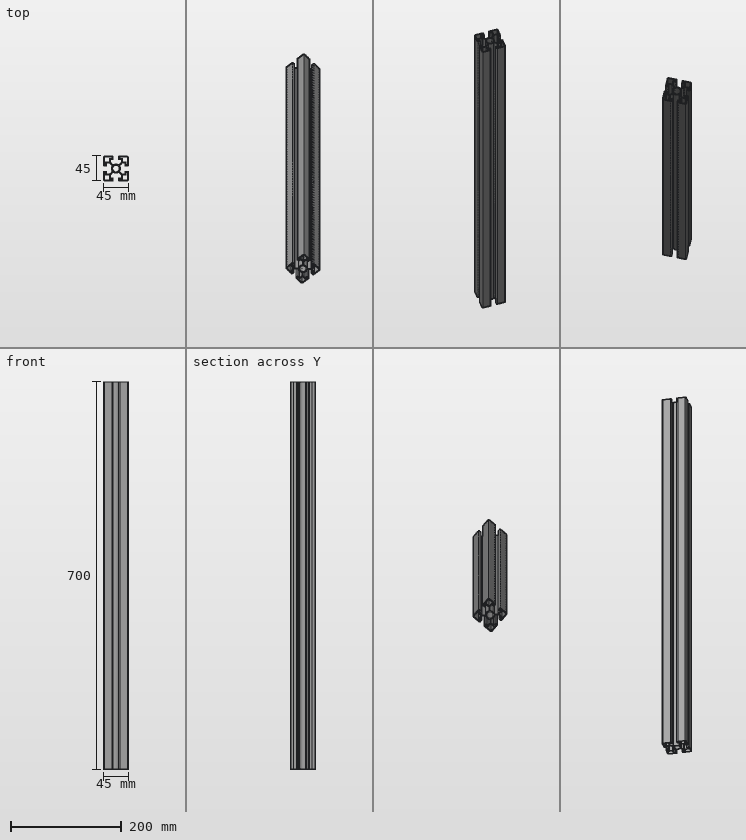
import cadquery as cq
import math

length = 700.0
side = 45.0
corner_radius = 3.0
slot_width = 10.0
slot_edge_radius = 1.5
lip_thickness = 5.5
channel_width = 19.5
outer_wall = 1.75
inner_wall = 1.75
arm_width = 2.0
tip_wall = 2.0
web_thickness = 1.75
hub_diameter = 16.0
bore_diameter = 12.0
corner_count = 4

half_side = side / 2
slot_edge = slot_width / 2
channel_edge = channel_width / 2
channel_depth = half_side - lip_thickness
hollow_start = channel_edge + inner_wall
hollow_end = half_side - outer_wall
arm_inner_face = hollow_end - arm_width
arm_tip = slot_edge + tip_wall


def bar(x_min, x_max, y_min, y_max):
    """Full-length rectangular bar between the given faces."""
    center_x = (x_min + x_max) / 2
    center_y = (y_min + y_max) / 2
    return cq.Workplane("XY").center(center_x, center_y).rect(x_max - x_min, y_max - y_min).extrude(length)


def rod(diameter):
    """Full-length round bar on the long axis."""
    return cq.Workplane("XY").circle(diameter / 2).extrude(length)


def corner_hollow():
    """Square hollow of a corner box with a narrow arm reaching into each lip."""
    square = bar(hollow_start, hollow_end, hollow_start, hollow_end)
    arm_along_x = bar(arm_tip, hollow_end, arm_inner_face, hollow_end)
    arm_along_y = bar(arm_inner_face, hollow_end, arm_tip, hollow_end)
    return square.union(arm_along_x).union(arm_along_y)


def corner_box():
    """Hollow corner box with the two slot lips that grow from it."""
    block = bar(slot_edge, half_side, slot_edge, half_side)
    block = block.edges("|Z and (>X and >Y)").fillet(corner_radius)
    block = block.edges("|Z and ((>X and <Y) or (<X and >Y))").fillet(slot_edge_radius)

    block = block.cut(bar(0, channel_edge, 0, channel_depth))
    block = block.cut(bar(0, channel_depth, 0, channel_edge))
    return block.cut(corner_hollow())


def diagonal_web():
    """Web from the hub to the inner corner of a corner box."""
    reach = math.sqrt(2) * (channel_edge + inner_wall / 2)
    web = bar(0, reach, -web_thickness / 2, web_thickness / 2)
    return web.rotate((0, 0, 0), (0, 0, 1), 45)


corner = corner_box().union(diagonal_web())
result = rod(hub_diameter)
for index in range(corner_count):
    angle = index * 360 / corner_count
    result = result.union(corner.rotate((0, 0, 0), (0, 0, 1), angle))
result = result.cut(rod(bore_diameter))